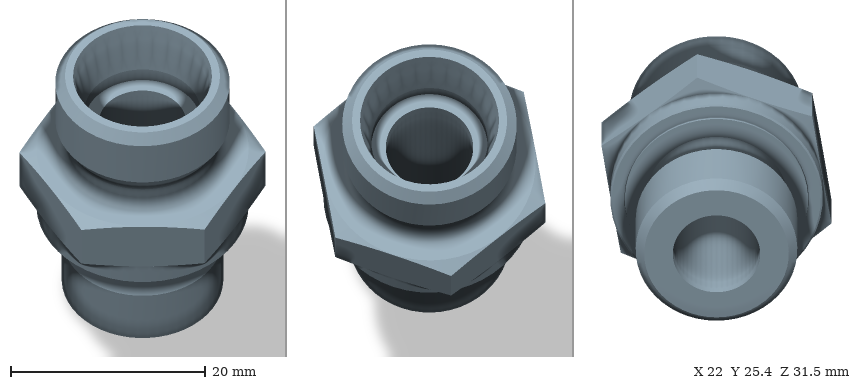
import cadquery as cq
import math

total_height = 31.5
stud_chamfer_top = 0.9
stud_thread_top = 7.28
flange_bottom = 12.0
hex_bottom = 14.52
hex_top = 20.5
tube_thread_bottom = 25.05

stud_diameter = 16.65
stud_end_diameter = 14.9
stud_neck_diameter = 14.7
flange_diameter = 21.9
tube_end_diameter = 18.0
tube_neck_diameter = 15.7
bore_diameter = 9.0
socket_diameter = 12.0

hex_across_flats = 22.0
hex_envelope_margin = 0.3
hex_chamfer_angle = math.radians(15)
flange_edge_width = 0.2
flange_edge_height = 0.13
tube_chamfer = 1.0
neck_fillet = 1.0
runout_angle = math.radians(30)
selection_margin = 0.03

socket_depth = 7.0
cone_half_angle = math.radians(12)
cone_depth = 5.42

seal_diameter = 18.9
groove_diameter = 19.0
seal_bottom = 11.72
groove_top = 13.23


def revolve_profile(points):
    """Revolve a closed (radius, height) outline around Z."""
    return cq.Workplane("XZ").polyline(points).close().revolve(360, (0, 0, 0), (0, 1, 0))


def neck_runout_edges(body, diameter, height):
    """Select the circular edge where a neck meets its conical run-out."""
    size = diameter + selection_margin
    slab = cq.selectors.BoxSelector(
        (-size, -size, height - selection_margin), (size, size, height + selection_margin), boundingbox=True
    )
    return body.edges(slab)


def make_stud():
    """Lower threaded end with chamfer, run-out cone and neck."""
    thread = stud_diameter / 2
    neck = stud_neck_diameter / 2
    cone_top = stud_thread_top + (thread - neck) / math.tan(runout_angle)
    stud = revolve_profile([
        (0, 0),
        (stud_end_diameter / 2, 0),
        (thread, stud_chamfer_top),
        (thread, stud_thread_top),
        (neck, cone_top),
        (neck, hex_bottom),
        (0, hex_bottom),
    ])
    return neck_runout_edges(stud, stud_neck_diameter, cone_top).fillet(neck_fillet)


def make_flange():
    """Round collar below the hexagon, with a bevelled lower edge."""
    radius = flange_diameter / 2
    return revolve_profile([
        (0, flange_bottom),
        (radius - flange_edge_width, flange_bottom),
        (radius, flange_bottom + flange_edge_height),
        (radius, hex_bottom),
        (0, hex_bottom),
    ])


def make_hexagon():
    """Wrench hexagon with two faces square to X and both ends bevelled at the corners."""
    corner_diameter = hex_across_flats / math.cos(math.pi / 6)
    prism = (
        cq.Workplane("XY", origin=(0, 0, hex_bottom))
        .transformed(rotate=(0, 0, 90))
        .polygon(6, corner_diameter)
        .extrude(hex_top - hex_bottom)
    )
    inner = flange_diameter / 2
    outer = corner_diameter / 2 + hex_envelope_margin
    drop = (outer - inner) * math.tan(hex_chamfer_angle)
    envelope = revolve_profile([
        (0, hex_bottom),
        (inner, hex_bottom),
        (outer, hex_bottom + drop),
        (outer, hex_top - drop),
        (inner, hex_top),
        (0, hex_top),
    ])
    return prism.intersect(envelope)


def make_tube_end():
    """Upper threaded end; the neck flares into the hexagon through a fillet."""
    thread = tube_end_diameter / 2
    neck = tube_neck_diameter / 2
    cone_bottom = tube_thread_bottom - (thread - neck) / math.tan(runout_angle)
    arc_offset = neck_fillet * (1 - math.sqrt(0.5))
    tube_end = (
        cq.Workplane("XZ")
        .moveTo(0, hex_top)
        .lineTo(neck + neck_fillet, hex_top)
        .threePointArc(
            (neck + arc_offset, hex_top + arc_offset),
            (neck, hex_top + neck_fillet),
        )
        .lineTo(neck, cone_bottom)
        .lineTo(thread, tube_thread_bottom)
        .lineTo(thread, total_height - tube_chamfer)
        .lineTo(thread - tube_chamfer, total_height)
        .lineTo(0, total_height)
        .close()
        .revolve(360, (0, 0, 0), (0, 1, 0))
    )
    return neck_runout_edges(tube_end, tube_neck_diameter, cone_bottom).fillet(neck_fillet)


def make_passage():
    """Through bore, tube socket and conical mouth as one cutting shape."""
    bore = bore_diameter / 2
    socket = socket_diameter / 2
    mouth = socket + cone_depth * math.tan(cone_half_angle)
    return revolve_profile([
        (0, 0),
        (bore, 0),
        (bore, total_height - socket_depth),
        (socket, total_height - socket_depth),
        (socket, total_height - cone_depth),
        (mouth, total_height),
        (0, total_height),
    ])


def make_ring(outer_diameter, bottom, top):
    """Flat ring that fits closely around the stud neck."""
    return (
        cq.Workplane("XY", origin=(0, 0, bottom))
        .circle(outer_diameter / 2)
        .circle(stud_neck_diameter / 2)
        .extrude(top - bottom)
    )


def make_fitting():
    """Complete fitting body with its passage and seal groove."""
    body = make_stud().union(make_flange()).union(make_hexagon()).union(make_tube_end())
    groove = make_ring(groove_diameter, flange_bottom, groove_top)
    return body.cut(make_passage()).cut(groove)


fitting = make_fitting()
seal_ring = make_ring(seal_diameter, seal_bottom, groove_top)

result = cq.Compound.makeCompound([fitting.solids().val(), seal_ring.val()])